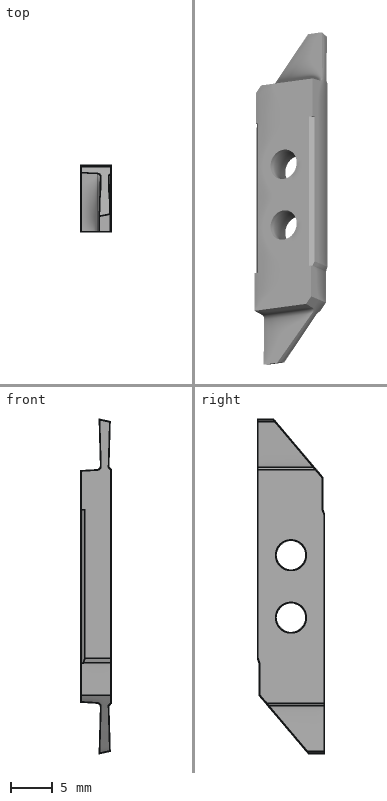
import cadquery as cq

length = 40.0
width = 8.0
thickness = 3.6
half_length = length / 2
half_width = width / 2
half_thickness = thickness / 2

tip_inner_x = 0.4
tip_outer_x = 1.7
tip_drop = 0.3
root_inner_x = 0.55
root_outer_x = 1.5
root_fillet = 0.45
shoulder_edge_z = 13.85
shoulder_root_z = 13.95
relief_top_z = 14.3

slope_tip_y = -2.1
slope_base_z = 13.0
step_depth = 0.2
step_start_z = 8.6
step_end_z = 9.15

chamfer_size = 0.5
chamfer_half_length = 9.2

hole_diameter = 3.6
hole_spacing = 7.5


def thickness_profile():
    """Half of the body and one blade, extruded across the width."""
    return (
        cq.Workplane("XZ")
        .moveTo(-half_thickness, 0)
        .lineTo(-half_thickness, shoulder_edge_z)
        .lineTo(root_inner_x - root_fillet, shoulder_root_z)
        .radiusArc((root_inner_x, shoulder_root_z + root_fillet), -root_fillet)
        .lineTo(tip_inner_x, half_length)
        .lineTo(tip_outer_x, half_length - tip_drop)
        .lineTo(root_outer_x, relief_top_z)
        .lineTo(half_thickness, shoulder_root_z)
        .lineTo(half_thickness, 0)
        .close()
        .extrude(half_width, both=True)
    )


def side_outline():
    """Half of the outline across the width, extruded through the thickness."""
    return (
        cq.Workplane("YZ")
        .moveTo(-half_width, 0)
        .lineTo(-half_width, half_length)
        .lineTo(slope_tip_y, half_length)
        .lineTo(half_width - step_depth, slope_base_z)
        .lineTo(half_width - step_depth, step_end_z)
        .lineTo(half_width, step_start_z)
        .lineTo(half_width, 0)
        .close()
        .extrude(half_thickness, both=True)
    )


def edge_chamfer(side):
    """Wedge that chamfers the long edge on the given Y side (+1 or -1)."""
    return (
        cq.Workplane("XY")
        .moveTo(-half_thickness, side * half_width)
        .lineTo(-half_thickness + chamfer_size, side * half_width)
        .lineTo(-half_thickness, side * (half_width - chamfer_size))
        .close()
        .extrude(chamfer_half_length, both=True)
    )


upper_half = thickness_profile().intersect(side_outline())
lower_half = upper_half.rotate((0, 0, 0), (1, 0, 0), 180)
body = upper_half.union(lower_half)

for side in (1, -1):
    body = body.cut(edge_chamfer(side))

holes = (
    cq.Workplane("YZ")
    .pushPoints([(0, hole_spacing / 2), (0, -hole_spacing / 2)])
    .circle(hole_diameter / 2)
    .extrude(half_thickness, both=True)
)
result = body.cut(holes)